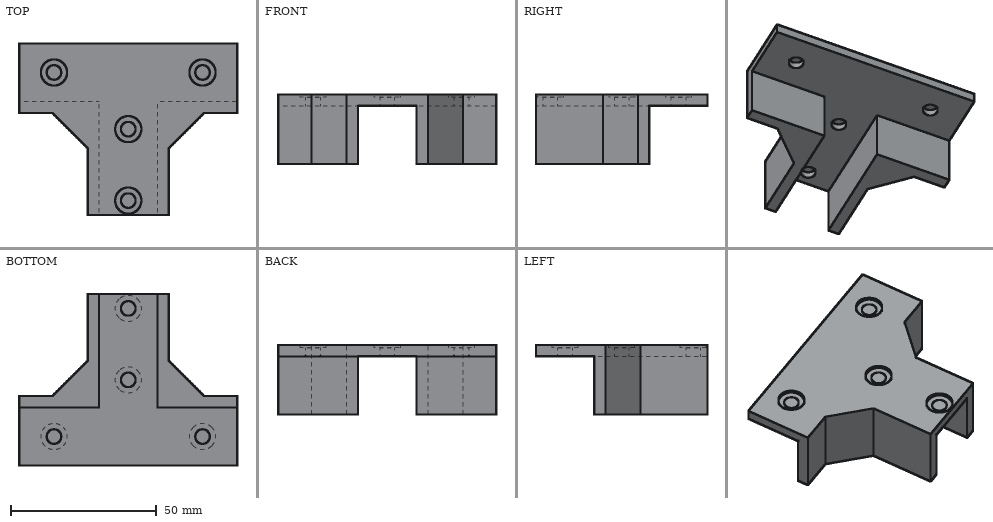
import cadquery as cq

length = 75.0
depth = 59.0
height = 24.0

thickness = 4.0
channel_width = 20.0
stem_width = channel_width + 2 * thickness
bar_depth = channel_width + thickness
gusset_leg = 12.0

head_diameter = 9.0
head_depth = 1.0
screw_diameter = 5.0
web_thickness = 0.2
bar_screw_x = 25.5
bar_screw_y = -channel_width / 2
inner_screw_y = -29.5
outer_screw_inset = 5.0
screw_positions = [
    (-bar_screw_x, bar_screw_y),
    (bar_screw_x, bar_screw_y),
    (0, inner_screw_y),
    (0, outer_screw_inset - depth),
]


def make_body():
    """T-shaped block whose two inner corners are filled at 45 degrees."""
    half_stem = stem_width / 2
    right_side = [
        (length / 2, 0),
        (length / 2, -bar_depth),
        (half_stem + gusset_leg, -bar_depth),
        (half_stem, -bar_depth - gusset_leg),
        (half_stem, -depth),
    ]
    left_side = [(-x, y) for x, y in reversed(right_side)]
    return cq.Workplane("XY").polyline(right_side + left_side).close().extrude(height)


def make_channels():
    """Space under the plate: open along the back of the bar and through the stem."""
    under_plate = height - thickness
    bar_space = cq.Workplane("XY").box(
        length, channel_width, under_plate, centered=(True, False, False)
    ).translate((0, -channel_width, 0))
    stem_space = cq.Workplane("XY").box(
        channel_width, depth, under_plate, centered=(True, False, False)
    ).translate((0, -depth, 0))
    return bar_space.union(stem_space)


def make_screw_seats():
    """Head recesses from above and screw holes from below, split by the web."""
    recesses = (
        cq.Workplane("XY", origin=(0, 0, height - head_depth))
        .pushPoints(screw_positions)
        .circle(head_diameter / 2)
        .extrude(head_depth)
    )
    holes = (
        cq.Workplane("XY", origin=(0, 0, height - thickness))
        .pushPoints(screw_positions)
        .circle(screw_diameter / 2)
        .extrude(thickness - head_depth - web_thickness)
    )
    return recesses.add(holes).combine()


result = make_body().cut(make_channels()).cut(make_screw_seats())